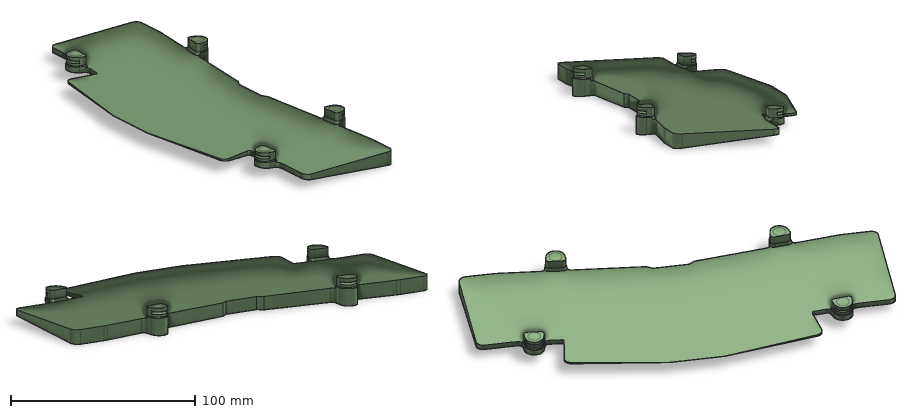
import cadquery as cq
import math

half_length = 115.5
rear_y = 92.0
wing_front_y = 32.0
bend_x = 95.2
wing_angle = 6.0
notch_half_width = 10.0
notch_mouth_half_width = 13.5
notch_y = 81.3
tab_front_half_width = 15.2
tab_half_width = 71.5
tab_angle = 10.0
corner_radius = 4.0
bend_radius = 23.0
tab_inner_radius = 1.2

wedge_angle = 5.0
front_thickness = 0.2

rear_boss_x = 61.7
front_boss_x = 85.0
boss_height = 6.5
edge_gap = 4.0
root_radius = 5.5
root_fillet = 2.3
root_overlap = 2.3
flare_angle = 10.0
post_step = 0.35
post_radius = root_radius - post_step
post_flat = 3.7
post_corner_radius = 1.8
foot_height = 1.6
foot_spread = 1.0
groove_depth = 0.5
groove_width = 1.5
groove_below_top = 2.0
dimple_radius = 3.5
dimple_depth = 0.35

blank_depth = 23.0

wing_slope = math.tan(math.radians(wing_angle))
tab_slope = math.tan(math.radians(tab_angle))
wedge_slope = math.tan(math.radians(wedge_angle))


def sloped_edge_y(outer_y, x):
    """Y of a sloped long edge that leaves the straight outer edge at bend_x."""
    return outer_y - (bend_x - x) * wing_slope


def round_edges(body, corners, radius):
    """Fillet the vertical edges at the given (x, y) corners and at their mirror images."""
    for x, y in corners:
        for side in (1, -1):
            nearest = cq.selectors.NearestToPointSelector((side * x, y, -blank_depth / 2))
            body = body.edges("|Z").edges(nearest).fillet(radius)
    return body


def make_plate():
    tab_corner_y = (tab_half_width - tab_front_half_width) * tab_slope
    tab_rise = (sloped_edge_y(wing_front_y, tab_half_width) - tab_corner_y) / (1 + tab_slope * wing_slope)
    tab_corner = (tab_half_width, tab_corner_y)
    front_bend = (bend_x, wing_front_y)
    front_corner = (half_length, wing_front_y)
    rear_corner = (half_length, rear_y)
    rear_bend = (bend_x, rear_y)
    tab_inner_corner = (tab_half_width - tab_rise * tab_slope, tab_corner_y + tab_rise)
    right_half = [
        (tab_front_half_width, 0),
        tab_corner,
        tab_inner_corner,
        front_bend,
        front_corner,
        rear_corner,
        rear_bend,
        (notch_mouth_half_width, sloped_edge_y(rear_y, notch_mouth_half_width)),
        (notch_half_width, notch_y),
    ]
    left_half = [(-x, y) for x, y in reversed(right_half)]
    plate = cq.Workplane("XY").polyline(right_half + left_half).close().extrude(-blank_depth)

    plate = round_edges(plate, [tab_corner, front_corner, rear_corner], corner_radius)
    plate = round_edges(plate, [tab_inner_corner], tab_inner_radius)
    return round_edges(plate, [front_bend, rear_bend], bend_radius)


def boss_side(radius, y):
    """Half width, at a given Y, of the flared side tangent to a circle about the boss axis."""
    flare = math.radians(flare_angle)
    return radius / math.cos(flare) - y * math.tan(flare)


def boss_arc(radius):
    """Start, middle and end of the round outer side, which is tangent to the flared sides."""
    flare = math.radians(flare_angle)
    side_x = radius * math.cos(flare)
    side_y = radius * math.sin(flare)
    return (side_x, side_y), (0, radius), (-side_x, side_y)


def make_root(top_z):
    """Lower boss body: round outside, with flared sides blended into the plate edge by fillets."""
    arc_start, arc_middle, arc_end = boss_arc(root_radius)
    side_x = boss_side(root_radius, -edge_gap)
    base_x = side_x + root_fillet + root_overlap
    inside_y = -edge_gap - root_overlap
    root = (
        cq.Workplane("XY")
        .moveTo(*arc_start)
        .threePointArc(arc_middle, arc_end)
        .lineTo(-side_x, -edge_gap)
        .lineTo(-base_x, -edge_gap)
        .lineTo(-base_x, inside_y)
        .lineTo(base_x, inside_y)
        .lineTo(base_x, -edge_gap)
        .lineTo(side_x, -edge_gap)
        .close()
        .extrude(-blank_depth)
    )
    return round_edges(root, [(side_x, -edge_gap)], root_fillet).translate((0, 0, top_z))


def make_d_body(radius, flat, corner, height, taper=0):
    """D-shaped body: round on the +Y side, flat with rounded corners on the -Y side."""
    arc_start, arc_middle, arc_end = boss_arc(radius)
    side_x = boss_side(radius, -flat)
    outline = (
        cq.Sketch()
        .arc(arc_start, arc_middle, arc_end)
        .segment((-side_x, -flat))
        .segment((side_x, -flat))
        .close()
        .assemble()
        .vertices("<Y")
        .fillet(corner)
    )
    return cq.Workplane("XY").placeSketch(outline).extrude(height, taper=taper)


def make_boss():
    """Boss about the Z axis, with the plate edge along Y = -edge_gap."""
    post = make_d_body(post_radius, post_flat, post_corner_radius, boss_height)

    foot_taper = math.degrees(math.atan2(foot_spread, foot_height))
    foot = make_d_body(
        post_radius + foot_spread,
        post_flat + foot_spread,
        post_corner_radius + foot_spread,
        foot_height,
        foot_taper,
    ).intersect(make_root(foot_height))

    groove_top = boss_height - groove_below_top
    groove = (
        cq.Workplane("XZ")
        .polyline([
            (post_radius - groove_depth, groove_top),
            (root_radius, groove_top),
            (root_radius, groove_top - groove_width),
            (post_radius, groove_top - groove_width),
        ])
        .close()
        .revolve(180 - 2 * flare_angle, (0, 0, 0), (0, 1, 0))
        .rotate((0, 0, 0), (0, 0, 1), flare_angle)
    )
    dimple = cq.Workplane(
        cq.Solid.makeCone(0, dimple_radius, dimple_depth, pnt=(0, 0, boss_height - dimple_depth))
    )
    return make_root(0).union(post).union(foot).cut(groove).cut(dimple)


def place_boss(x, outer_y, outward):
    """Put a boss on the +X half; outward is 1 on the rear edge and -1 on the front edge."""
    centre_y = sloped_edge_y(outer_y, x) + outward * edge_gap / math.cos(math.radians(wing_angle))
    turn = wing_angle if outward > 0 else wing_angle + 180
    return make_boss().rotate((0, 0, 0), (0, 0, 1), turn).translate((x, centre_y, 0))


def make_underside_cutter():
    """Everything below the sloped underside."""
    front_y = -half_length
    back_y = 2 * half_length
    return (
        cq.Workplane("YZ")
        .polyline([
            (front_y, -front_thickness - front_y * wedge_slope),
            (back_y, -front_thickness - back_y * wedge_slope),
            (back_y, -2 * blank_depth),
            (front_y, -2 * blank_depth),
        ])
        .close()
        .extrude(2 * half_length, both=True)
    )


result = make_plate()
for boss in (place_boss(rear_boss_x, rear_y, 1), place_boss(front_boss_x, wing_front_y, -1)):
    result = result.union(boss).union(boss.mirror("YZ"))
result = result.cut(make_underside_cutter())